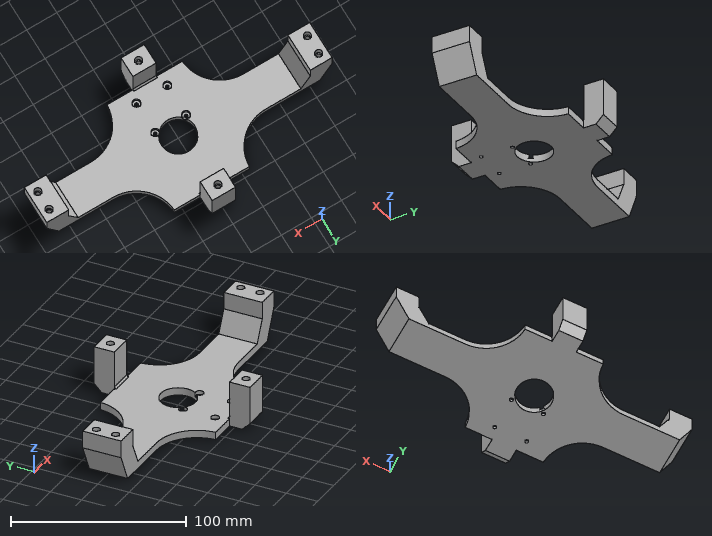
import cadquery as cq

length = 190.0
width = 100.0
height = 29.0

plate_thickness = 5.0
plate_width = 73.7
corner_radius = 25.6
corner_centre_x = 50.7
centre_hole_diameter = 22.0

arm_width = 24.7
arm_pad_length = 14.6
arm_outer_knee_drop = 11.0
arm_inner_knee_drop = 10.8
arm_outer_foot_inset = 8.2
arm_inner_foot_inset = 20.9

post_width = 15.5
post_depth = (width - plate_width) / 2
post_chamfer = plate_thickness
post_root_chamfer = 1.1

pin_hole_diameter = 3.0
pin_hole_depth = 11.4
pin_mouth_diameter = 4.5
pin_mouth_depth = 5.7
arm_hole_inset = 5.3
arm_hole_spacing = 12.4

screw_spacing = 20.5
screw_centre_y = -18.6
screw_diameter = 2.0
screw_head_diameter = 5.0
screw_head_depth = 2.5

half_length = length / 2
half_width = width / 2
half_plate_width = plate_width / 2
corner_centre_y = arm_width / 2 + corner_radius


def make_plate():
    """Flat rectangle with a round bite between each arm and the plate edge."""
    plate = cq.Workplane("XY").rect(2 * corner_centre_x, plate_width).extrude(plate_thickness)
    bites = (
        cq.Workplane("XY")
        .rarray(2 * corner_centre_x, 2 * corner_centre_y, 2, 2)
        .circle(corner_radius)
        .extrude(plate_thickness)
    )
    return plate.cut(bites)


def make_arms():
    """Constant-width strip whose two ends slope outward and then rise vertically."""
    right_side = [
        (half_length - arm_outer_foot_inset, 0),
        (half_length, height - arm_outer_knee_drop),
        (half_length, height),
        (half_length - arm_pad_length, height),
        (half_length - arm_pad_length, height - arm_inner_knee_drop),
        (half_length - arm_inner_foot_inset, plate_thickness),
    ]
    left_side = [(-x, z) for x, z in reversed(right_side)]
    profile = cq.Workplane("XZ").polyline(right_side + left_side).close()
    return profile.extrude(arm_width / 2, both=True)


def make_post():
    """Upright block on the +Y edge, chamfered below and at its inner root."""
    outline = [
        (half_plate_width - post_root_chamfer, 0),
        (half_width - post_chamfer, 0),
        (half_width, post_chamfer),
        (half_width, height),
        (half_plate_width, height),
        (half_plate_width, plate_thickness + post_root_chamfer),
        (half_plate_width - post_root_chamfer, plate_thickness),
    ]
    return cq.Workplane("YZ").polyline(outline).close().extrude(post_width / 2, both=True)


def drill_pin_holes(body):
    """Two stepped blind holes in each arm top and one in each post top."""
    arm_x = half_length - arm_hole_inset
    post_y = half_width - post_depth / 2
    points = [(x, y) for x in (-arm_x, arm_x) for y in (-arm_hole_spacing / 2, arm_hole_spacing / 2)]
    points += [(0, -post_y), (0, post_y)]
    top = cq.Workplane("XY").workplane(offset=height).pushPoints(points)
    return body.cut(top.circle(pin_hole_diameter / 2).extrude(-pin_hole_depth)).cut(
        top.circle(pin_mouth_diameter / 2).extrude(-pin_mouth_depth)
    )


def drill_plate(body):
    """Large centre hole and four counterbored screw holes through the plate."""
    drilled = body.cut(cq.Workplane("XY").circle(centre_hole_diameter / 2).extrude(plate_thickness))
    return (
        drilled.copyWorkplane(cq.Workplane("XY", origin=(0, screw_centre_y, plate_thickness)))
        .rarray(screw_spacing, screw_spacing, 2, 2)
        .cboreHole(screw_diameter, screw_head_diameter, screw_head_depth, plate_thickness)
    )


post = make_post()
body = make_plate().union(make_arms()).union(post).union(post.mirror("XZ"))
result = drill_plate(drill_pin_holes(body))